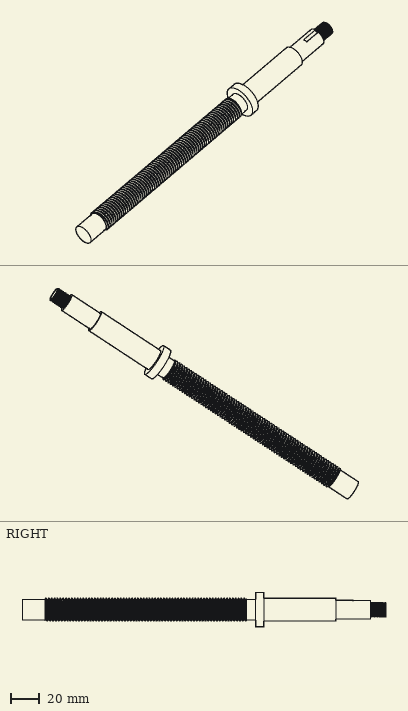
import cadquery as cq

total_length = 253.0
plain_end_length = 16.0
screw_length = 140.0
relief_length = 6.3
flange_width = 5.8
journal_length = 50.0
step_length = 24.0

screw_diameter = 16.0
relief_diameter = 14.5
flange_diameter = 24.0
journal_diameter = 16.0
step_diameter = 13.2
tip_diameter = 10.0

screw_pitch = 2.0
screw_depth = 1.0
tip_pitch = 1.0
tip_depth = 0.55
crest_share = 0.13
foot_share = 0.8
sink_share = 0.2

groove_radius = 1.4
groove_length = 12.1


def cylinder(diameter, start, length):
    """Solid cylinder on the Z axis, from height `start` upwards."""
    return cq.Workplane("XY").workplane(offset=start).circle(diameter / 2).extrude(length)


def thread_ridge(diameter, depth, start, length, pitch):
    """Right-hand helical ridge, sunk slightly into its core and half a turn too long at both ends."""
    crest_radius = diameter / 2
    half_crest = crest_share * pitch / 2
    half_foot = foot_share * pitch / 2
    base_radius = crest_radius - depth * (1 + sink_share)
    half_base = half_foot + (half_foot - half_crest) * sink_share
    lead_in = start - pitch / 2
    helix = cq.Wire.makeHelix(pitch, length + pitch, crest_radius, cq.Vector(0, 0, lead_in))
    ridge = (
        cq.Workplane("XZ")
        .polyline([
            (base_radius, lead_in - half_base),
            (crest_radius, lead_in - half_crest),
            (crest_radius, lead_in + half_crest),
            (base_radius, lead_in + half_base),
        ])
        .close()
        .sweep(cq.Workplane(helix), isFrenet=True)
    )
    return ridge


def threaded_rod(diameter, depth, start, length, pitch):
    """Core and ridge joined over a longer stretch, then cut square at both ends."""
    overrun = 2 * pitch
    rod = cylinder(diameter - 2 * depth, start - overrun, length + 2 * overrun)
    rod = rod.union(thread_ridge(diameter, depth, start, length, pitch))
    for waste_start in (start - overrun, start + length):
        rod = rod.cut(cylinder(2 * diameter, waste_start, overrun))
    return rod


screw_start = plain_end_length
relief_start = screw_start + screw_length
flange_start = relief_start + relief_length
journal_start = flange_start + flange_width
step_start = journal_start + journal_length
tip_start = step_start + step_length
tip_length = total_length - tip_start

head = (
    cylinder(relief_diameter, relief_start, relief_length)
    .union(cylinder(flange_diameter, flange_start, flange_width))
    .union(cylinder(journal_diameter, journal_start, journal_length))
    .union(cylinder(step_diameter, step_start, step_length))
    .union(threaded_rod(tip_diameter, tip_depth, tip_start, tip_length, tip_pitch))
)

groove = cylinder(2 * groove_radius, tip_start - groove_length, groove_length)
head = head.cut(groove.translate((0, -step_diameter / 2, 0)))

shaft = (
    cylinder(relief_diameter, 0, plain_end_length)
    .union(threaded_rod(screw_diameter, screw_depth, screw_start, screw_length, screw_pitch))
    .union(head)
)

result = shaft.rotate((0, 0, 0), (1, 0, 0), -90).translate((0, -total_length / 2, 0))